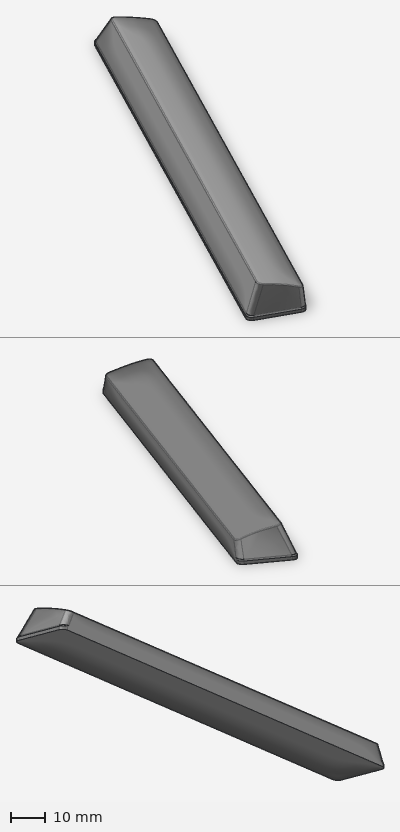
import cadquery as cq
import math

length = 151.5
depth = 18.2
height = 10.2
front_y = -depth / 2
back_y = depth / 2

rim_height = 1.0
bevel_top = 1.5
bevel_inset = 0.3

corner_radius = 1.8
top_edge_radius = 0.38
crest_trim = 0.03
crest_inset = 4.1
crest_y = front_y + crest_inset
crest_z = height + crest_trim
back_height = 6.4
crown_bulge = 0.5

blank_end_inset = 3.3
blank_front_z = 10.8
blank_back_z = 7.1


def make_rim():
    """Low plate with rounded corners, and the bevel that leads up to the body."""
    plate = (
        cq.Workplane("XY")
        .box(length, depth, rim_height, centered=(True, True, False))
        .edges("|Z")
        .fillet(corner_radius)
    )
    bevel_foot = cq.Sketch().rect(length, depth).vertices().fillet(corner_radius)
    bevel_head = (
        cq.Sketch()
        .rect(length - 2 * bevel_inset, depth - bevel_inset)
        .vertices()
        .fillet(corner_radius)
        .moved(cq.Location(cq.Vector(0, bevel_inset / 2, bevel_top - rim_height)))
    )
    bevel = cq.Workplane("XY", origin=(0, 0, rim_height)).placeSketch(bevel_foot, bevel_head).loft(ruled=True)
    return plate.union(bevel)


def rectangle(half_length, front, back):
    """Closed rectangle from its half length and the (y, z) of its front and back edges."""
    corners = [
        cq.Vector(-half_length, *front),
        cq.Vector(half_length, *front),
        cq.Vector(half_length, *back),
        cq.Vector(-half_length, *back),
    ]
    return cq.Wire.makePolygon(corners, close=True)


def make_blank():
    """Block with a leaning front, slightly twisted ends, an upright back and rounded corners."""
    foot_y = front_y + bevel_inset
    front_lean = (crest_y - foot_y) / (crest_z - bevel_top)
    blank_front_y = foot_y + front_lean * (blank_front_z - bevel_top)
    foot = rectangle(length / 2 - bevel_inset, (foot_y, bevel_top), (back_y, bevel_top))
    top = rectangle(length / 2 - blank_end_inset, (blank_front_y, blank_front_z), (back_y, blank_back_z))
    block = cq.Workplane(cq.Solid.makeLoft([foot, top], True))
    return block.edges("not(|X or #X)").fillet(corner_radius)


def make_crown_envelope():
    """Prism along X whose gently arched top falls from the crest to the back."""
    drop = crest_z - back_height
    run = back_y - crest_y
    slope_length = math.hypot(run, drop)
    arc_middle = (
        (crest_y + back_y) / 2 + crown_bulge * drop / slope_length,
        (crest_z + back_height) / 2 + crown_bulge * run / slope_length,
    )
    return (
        cq.Workplane("YZ")
        .moveTo(front_y, 0)
        .lineTo(back_y, 0)
        .lineTo(back_y, back_height)
        .threePointArc(arc_middle, (crest_y, crest_z))
        .lineTo(front_y, crest_z)
        .close()
        .extrude(length / 2, both=True)
    )


def make_body():
    """Crowned body with its top outline rounded over."""
    body = make_blank().intersect(make_crown_envelope())
    return body.faces("%CYLINDER").edges().fillet(top_edge_radius)


result = make_rim().union(make_body())